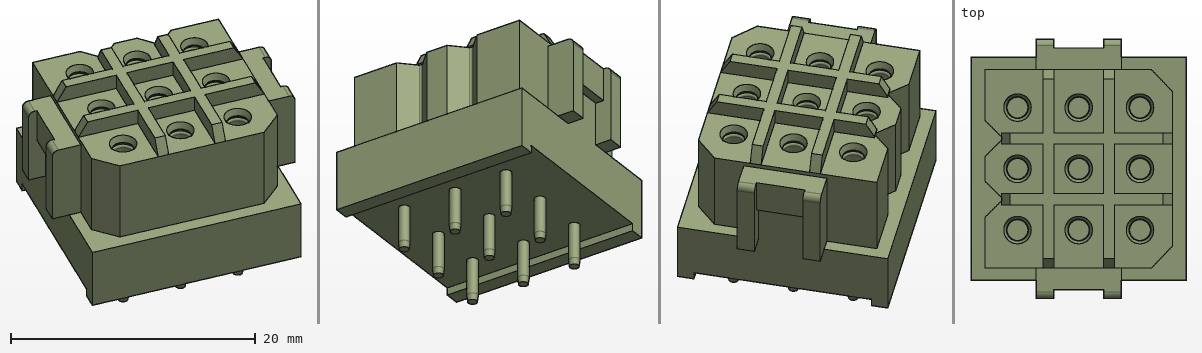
import cadquery as cq
import math

ROWS = 3
PITCH = 5.0

RECESS_TOP = 0.68
BASE_TOP = 5.5
BLOCK_TOP = 12.87
RIB_TOP = 14.25
LATCH_TOP = 12.49
LATCH_BAR_BOTTOM = 9.45
PIN_BOTTOM = -3.25

BASE_LENGTH = 17.6
BASE_WIDTH = 18.23
FOOT_LENGTH = 1.38

BLOCK_LENGTH = 15.33
BLOCK_WIDTH = 16.24
CORNER_CUT_X = 1.74
CORNER_CUT_Y = 1.82
KEYWAY_DEPTH = 1.48
KEYWAY_ROOT_RADIUS = 0.21

RIB_PITCH = 4.96
RIB_THICKNESS = 0.91
RIB_END_ANGLE = 30.0
RIB_KEYED_END_INSET = 1.35
RIB_KEYED_END_STEP = 0.15

OVERALL_WIDTH = 21.2
LATCH_LENGTH = 6.95
LATCH_GAP = 4.05
LATCH_BAR_PROJECTION = 0.76
LATCH_TOP_RADIUS = 0.53

MOUTH_RADIUS = 1.12
MOUTH_DEPTH = 0.57
THROAT_RADIUS = 0.9
THROAT_LENGTH = 0.06

SLEEVE_GAP = 0.25
SLEEVE_BORE_RADIUS = 0.85
SLEEVE_WALL = 0.21
SLEEVE_LIP_RADIUS = 0.2
PIN_RADIUS = 0.49
PIN_TIP_RADIUS = 0.4
PIN_TIP_LENGTH = 0.57

SLEEVE_RADIUS = SLEEVE_BORE_RADIUS + SLEEVE_WALL
SLEEVE_FLOOR = BASE_TOP
SLEEVE_BOTTOM = SLEEVE_FLOOR - SLEEVE_WALL
MOUTH_BOTTOM = BLOCK_TOP - MOUTH_DEPTH
THROAT_BOTTOM = MOUTH_BOTTOM - THROAT_LENGTH
SLEEVE_TOP = THROAT_BOTTOM - SLEEVE_GAP

CELL_OFFSETS = [(i - (ROWS - 1) / 2) * PITCH for i in range(ROWS)]
RIB_OFFSETS = [-RIB_PITCH / 2, RIB_PITCH / 2]


def box_between(x_range, y_range, z_range):
    """Box given by its lower and upper limit along each axis."""
    sizes = [upper - lower for lower, upper in (x_range, y_range, z_range)]
    corner = (x_range[0], y_range[0], z_range[0])
    return cq.Workplane("XY").box(*sizes, centered=False).translate(corner)


def make_base():
    """Rectangular base whose underside is recessed between two feet."""
    half_length = BASE_LENGTH / 2
    half_width = BASE_WIDTH / 2
    recess_half_length = half_length - FOOT_LENGTH
    base = box_between((-half_length, half_length), (-half_width, half_width), (0, BASE_TOP))
    recess = box_between(
        (-recess_half_length, recess_half_length), (-half_width, half_width), (0, RECESS_TOP)
    )
    return base.cut(recess)


def make_keyway(y_center):
    """Upright V groove with a rounded root in the -X side of the block."""
    x_side = -BLOCK_LENGTH / 2
    height = BLOCK_TOP - BASE_TOP
    return (
        cq.Workplane("XY", origin=(0, y_center, BASE_TOP))
        .moveTo(x_side, -KEYWAY_DEPTH)
        .lineTo(x_side + KEYWAY_DEPTH, 0)
        .lineTo(x_side, KEYWAY_DEPTH)
        .close()
        .extrude(height)
        .edges("|Z and >X")
        .fillet(KEYWAY_ROOT_RADIUS)
    )


def make_block():
    """Contact block with two cut +X corners and two keyways on the -X side."""
    half_length = BLOCK_LENGTH / 2
    half_width = BLOCK_WIDTH / 2
    block = (
        cq.Workplane("XY", origin=(0, 0, BASE_TOP))
        .moveTo(-half_length, -half_width)
        .lineTo(half_length - CORNER_CUT_X, -half_width)
        .lineTo(half_length, -half_width + CORNER_CUT_Y)
        .lineTo(half_length, half_width - CORNER_CUT_Y)
        .lineTo(half_length - CORNER_CUT_X, half_width)
        .lineTo(-half_length, half_width)
        .close()
        .extrude(BLOCK_TOP - BASE_TOP)
    )
    for y_center in RIB_OFFSETS:
        block = block.cut(make_keyway(y_center))
    return block


def make_rib(plane, start, end, start_step=0.0):
    """Rib along the first axis of the plane, its sloping start standing on an optional upright step."""
    slope = math.tan(math.radians(RIB_END_ANGLE))
    height = RIB_TOP - BLOCK_TOP
    outline = [
        (start, BLOCK_TOP),
        (end, BLOCK_TOP),
        (end - height * slope, RIB_TOP),
        (start + (height - start_step) * slope, RIB_TOP),
    ]
    if start_step > 0:
        outline.append((start, BLOCK_TOP + start_step))
    return cq.Workplane(plane).polyline(outline).close().extrude(RIB_THICKNESS / 2, both=True)


def make_ribs():
    """Two crossing pairs of ribs that part the contact cells."""
    half_length = BLOCK_LENGTH / 2
    half_width = BLOCK_WIDTH / 2
    rib_x = make_rib("XZ", -half_length + RIB_KEYED_END_INSET, half_length, RIB_KEYED_END_STEP)
    rib_y = make_rib("YZ", -half_width, half_width)
    ribs = cq.Workplane("XY")
    for offset in RIB_OFFSETS:
        ribs = ribs.union(rib_x.translate((0, offset, 0)))
        ribs = ribs.union(rib_y.translate((offset, 0, 0)))
    return ribs


def make_latch():
    """Latch on the -Y side: a wall, two projecting legs and a bar between their tops."""
    half_length = LATCH_LENGTH / 2
    half_gap = LATCH_GAP / 2
    y_tip = -OVERALL_WIDTH / 2
    y_wall = -BASE_WIDTH / 2
    y_block = -BLOCK_WIDTH / 2
    body = (
        box_between((-half_length, half_length), (y_tip, y_block), (BASE_TOP, LATCH_TOP))
        .edges("<Y and >Z")
        .fillet(LATCH_TOP_RADIUS)
    )
    y_bar = y_wall - LATCH_BAR_PROJECTION
    above_bar = box_between((-half_gap, half_gap), (y_tip, y_bar), (BASE_TOP, LATCH_TOP))
    below_bar = box_between((-half_gap, half_gap), (y_tip, y_wall), (BASE_TOP, LATCH_BAR_BOTTOM))
    return body.cut(above_bar).cut(below_bar)


def make_contact(x, y):
    """Round contact: a sleeve with a blind, round-lipped bore above a thin pin with a tapered tip."""
    lip_outer_radius = SLEEVE_BORE_RADIUS + SLEEVE_LIP_RADIUS
    return (
        cq.Workplane("XZ")
        .moveTo(0, SLEEVE_FLOOR)
        .lineTo(SLEEVE_BORE_RADIUS, SLEEVE_FLOOR)
        .lineTo(SLEEVE_BORE_RADIUS, SLEEVE_TOP - SLEEVE_LIP_RADIUS)
        .radiusArc((lip_outer_radius, SLEEVE_TOP), SLEEVE_LIP_RADIUS)
        .lineTo(SLEEVE_RADIUS, SLEEVE_TOP)
        .lineTo(SLEEVE_RADIUS, SLEEVE_BOTTOM)
        .lineTo(PIN_RADIUS, SLEEVE_BOTTOM)
        .lineTo(PIN_RADIUS, PIN_BOTTOM + PIN_TIP_LENGTH)
        .lineTo(PIN_TIP_RADIUS, PIN_BOTTOM)
        .lineTo(0, PIN_BOTTOM)
        .close()
        .revolve(360, (0, 0, 0), (0, 1, 0))
        .translate((x, y, 0))
    )


def make_socket(x, y):
    """Cavity around a contact: mouth, throat, sleeve bore and a pin hole through the base."""
    return (
        cq.Workplane("XZ")
        .moveTo(0, BLOCK_TOP)
        .lineTo(MOUTH_RADIUS, BLOCK_TOP)
        .lineTo(THROAT_RADIUS, MOUTH_BOTTOM)
        .lineTo(THROAT_RADIUS, THROAT_BOTTOM)
        .lineTo(SLEEVE_RADIUS, THROAT_BOTTOM)
        .lineTo(SLEEVE_RADIUS, SLEEVE_BOTTOM)
        .lineTo(PIN_RADIUS, SLEEVE_BOTTOM)
        .lineTo(PIN_RADIUS, 0)
        .lineTo(0, 0)
        .close()
        .revolve(360, (0, 0, 0), (0, 1, 0))
        .translate((x, y, 0))
    )


latch = make_latch()
housing = make_base().union(make_block()).union(make_ribs())
housing = housing.union(latch).union(latch.mirror("XZ"))

contacts = []
for x in CELL_OFFSETS:
    for y in CELL_OFFSETS:
        housing = housing.cut(make_socket(x, y))
        contacts.append(make_contact(x, y).val())

result = cq.Compound.makeCompound([housing.val(), *contacts])